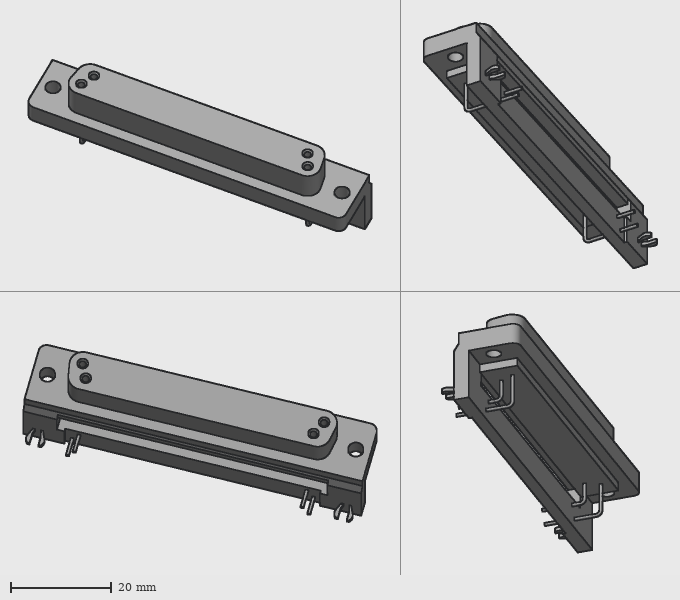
import cadquery as cq
import math


length = 69.7
flange_back = 12.6
flange_bottom = 10.5
flange_top = 14.85
flange_corner_radius = 1.7
wall_front = 10.45
wall_back = 13.6
slope_bottom = 10.95
slope_top = 12.5
mount_hole_x = 31.8
mount_hole_y = 6.3
mount_hole_diameter = 3.1

window_half_width = 27.9
sill_height = 6.05
relief_half_width = 26.35
relief_depth = 0.6
relief_face = wall_back - relief_depth

total_height = 21.2
shell_front = 2.3
shell_back = 10.45
shell_front_half_width = 28.0
shell_side_angle = 10.0
shell_corner_radius = 2.7
insert_half_width = 28.5
insert_front = 2.5
insert_bottom = 8.8

contacts = [(24.9, 4.9, 2.0), (23.5, 7.8, 4.5)]
contact_diameter = 0.7
contact_bend_radius = 1.05
contact_tip = 16.8
contact_embed = 0.7
socket_diameter = 1.4
socket_mouth_diameter = 2.15
socket_depth = 4.2

lock_height = 0.85
lock_center_z = 3.35
lock_embed = 0.7
prong_root_inner = 0.55
prong_root_outer = 1.05
prong_inner = 0.9
prong_knee_y = 14.8
prong_shoulder = 1.75
prong_shoulder_y = 15.1
prong_bulge = 1.9
prong_bulge_y = 15.75
prong_tip_outer = 1.4


def box(half_width, y_min, y_max, z_min, z_max):
    """Box centred in X between the given Y and Z limits."""
    size = (2 * half_width, y_max - y_min, z_max - z_min)
    return cq.Workplane("XY").box(*size, centered=(True, False, False)).translate((0, y_min, z_min))


def make_body():
    """L-shaped flange and wall with mounting holes, window and rear relief."""
    body = (
        cq.Workplane("YZ")
        .moveTo(0, flange_bottom)
        .lineTo(wall_front, flange_bottom)
        .lineTo(wall_front, 0)
        .lineTo(wall_back, 0)
        .lineTo(wall_back, slope_bottom)
        .lineTo(flange_back, slope_top)
        .lineTo(flange_back, flange_top)
        .lineTo(0, flange_top)
        .close()
        .extrude(length / 2, both=True)
        .edges("|Z and <Y")
        .fillet(flange_corner_radius)
    )
    holes = (
        cq.Workplane("XY")
        .pushPoints([(-mount_hole_x, mount_hole_y), (mount_hole_x, mount_hole_y)])
        .circle(mount_hole_diameter / 2)
        .extrude(flange_top)
    )
    window = box(window_half_width, wall_front, wall_back, sill_height, flange_bottom)
    upper_relief = box(window_half_width, relief_face, wall_back, sill_height, flange_top)
    lower_relief = box(relief_half_width, relief_face, wall_back, 0, sill_height)
    return body.cut(holes).cut(window).cut(upper_relief).cut(lower_relief)


def make_shell():
    """D-shaped shell, wider at the front, with rounded corners."""
    taper = (shell_back - shell_front) * math.tan(math.radians(shell_side_angle))
    back_half_width = shell_front_half_width - taper
    return (
        cq.Workplane("XY", origin=(0, 0, flange_top))
        .polyline([
            (-shell_front_half_width, shell_front),
            (shell_front_half_width, shell_front),
            (back_half_width, shell_back),
            (-back_half_width, shell_back),
        ])
        .close()
        .extrude(total_height - flange_top)
        .edges("|Z")
        .fillet(shell_corner_radius)
    )


def make_contact(x, y, z):
    """Round pin leading down from the insert, then bent back through the wall."""
    bend_offset = contact_bend_radius * (1 - math.sqrt(0.5))
    top = insert_bottom + contact_embed
    path = (
        cq.Workplane("YZ", origin=(x, 0, 0))
        .moveTo(y, top)
        .lineTo(y, z + contact_bend_radius)
        .threePointArc((y + bend_offset, z + bend_offset), (y + contact_bend_radius, z))
        .lineTo(contact_tip, z)
    )
    return cq.Workplane("XY", origin=(x, y, top)).circle(contact_diameter / 2).sweep(path)


def make_socket(x, y):
    """Blind contact hole with a 45-degree conical mouth, to be cut from the shell."""
    socket_radius = socket_diameter / 2
    mouth_radius = socket_mouth_diameter / 2
    mouth_bottom = total_height - (mouth_radius - socket_radius)
    return (
        cq.Workplane("XZ")
        .moveTo(0, total_height - socket_depth)
        .lineTo(socket_radius, total_height - socket_depth)
        .lineTo(socket_radius, mouth_bottom)
        .lineTo(mouth_radius, total_height)
        .lineTo(0, total_height)
        .close()
        .revolve(360, (0, 0, 0), (0, 1, 0))
        .translate((x, y, 0))
    )


def make_prong(center_x, side):
    """One curved spring finger; side is -1 or 1."""
    root_y = wall_back - lock_embed

    def point(offset, y):
        return (center_x + side * offset, y)

    return (
        cq.Workplane("XY", origin=(0, 0, lock_center_z))
        .moveTo(*point(prong_root_inner, root_y))
        .lineTo(*point(prong_root_inner, wall_back))
        .lineTo(*point(prong_inner, prong_knee_y))
        .lineTo(*point(prong_inner, contact_tip))
        .lineTo(*point(prong_tip_outer, contact_tip))
        .threePointArc(point(prong_bulge, prong_bulge_y), point(prong_shoulder, prong_shoulder_y))
        .lineTo(*point(prong_root_outer, wall_back))
        .lineTo(*point(prong_root_outer, root_y))
        .close()
        .extrude(lock_height / 2, both=True)
    )


result = make_body().union(make_shell())
result = result.union(box(insert_half_width, insert_front, wall_front, insert_bottom, flange_bottom))
for end in (-1, 1):
    for contact_x, contact_y, contact_z in contacts:
        result = result.cut(make_socket(end * contact_x, contact_y))
        result = result.union(make_contact(end * contact_x, contact_y, contact_z))
    for prong_side in (-1, 1):
        result = result.union(make_prong(end * mount_hole_x, prong_side))